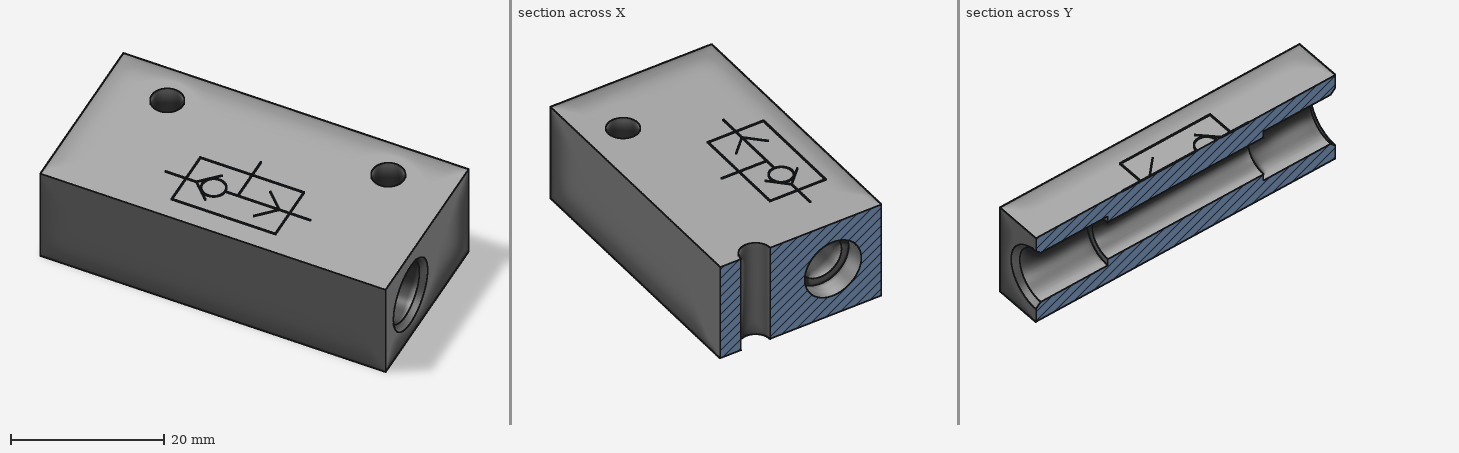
import cadquery as cq
import math

length = 50.0
width = 25.0
height = 15.0

mount_diameter = 4.5
mount_spacing = 32.0
mount_y = 7.0

passage_y = -5.0
passage_diameter = 6.5
port_diameter = 8.7
port_depth = 12.0
port_mouth_diameter = 10.3

groove_width = 0.1
groove_depth = 0.1
frame_length = 15.0
frame_width = 8.6
flow_line_end = 10.5
outlet_line_length = 7.0
seat_tip_x = 6.0
seat_reach = 2.5
ball_x = seat_reach - seat_tip_x
ball_inner_diameter = 3.2
ball_outer_diameter = ball_inner_diameter + 2 * groove_width


def make_block():
    return cq.Workplane("XY").box(length, width, height, centered=(True, True, False))


def mounting_holes():
    return (
        cq.Workplane("XY")
        .pushPoints([(-mount_spacing / 2, mount_y), (mount_spacing / 2, mount_y)])
        .circle(mount_diameter / 2)
        .extrude(height)
    )


def flow_passage():
    """Half section of the stepped passage, revolved about its own axis."""
    end = length / 2
    step = end - port_depth
    passage_radius = passage_diameter / 2
    port_radius = port_diameter / 2
    mouth_radius = port_mouth_diameter / 2
    chamfer = mouth_radius - port_radius
    return (
        cq.Workplane("XZ")
        .moveTo(-end, 0)
        .lineTo(-end, mouth_radius)
        .lineTo(-end + chamfer, port_radius)
        .lineTo(-step, port_radius)
        .lineTo(-step, passage_radius)
        .lineTo(step, passage_radius)
        .lineTo(step, port_radius)
        .lineTo(end - chamfer, port_radius)
        .lineTo(end, mouth_radius)
        .lineTo(end, 0)
        .close()
        .revolve(360, (0, 0, 0), (1, 0, 0))
        .translate((0, passage_y, height / 2))
    )


def groove(start, end):
    """Straight engraved groove between two points of the symbol."""
    run_x = end[0] - start[0]
    run_y = end[1] - start[1]
    middle = ((start[0] + end[0]) / 2, (start[1] + end[1]) / 2, 0)
    return (
        cq.Workplane("XY")
        .rect(math.hypot(run_x, run_y), groove_width)
        .extrude(-groove_depth)
        .rotate((0, 0, 0), (0, 0, 1), math.degrees(math.atan2(run_y, run_x)))
        .translate(middle)
    )


def valve_symbol():
    frame = (
        cq.Workplane("XY")
        .rect(frame_length + groove_width, frame_width + groove_width)
        .rect(frame_length - groove_width, frame_width - groove_width)
        .extrude(-groove_depth)
    )
    ball = (
        cq.Workplane("XY")
        .center(ball_x, 0)
        .circle(ball_outer_diameter / 2)
        .circle(ball_inner_diameter / 2)
        .extrude(-groove_depth)
    )
    ball_edge_x = ball_x + (ball_inner_diameter + groove_width) / 2
    symbol = frame.union(ball)
    symbol = symbol.union(groove((-flow_line_end, 0), (-seat_tip_x, 0)))
    symbol = symbol.union(groove((ball_edge_x, 0), (flow_line_end, 0)))
    symbol = symbol.union(groove((0, 0), (0, outlet_line_length)))
    for side in (-1, 1):
        tip = (side * seat_tip_x, 0)
        for arm in (-1, 1):
            arm_end = (side * (seat_tip_x - seat_reach), arm * seat_reach)
            symbol = symbol.union(groove(tip, arm_end))
    return symbol.translate((0, passage_y, height))


result = make_block().cut(mounting_holes()).cut(flow_passage()).cut(valve_symbol())